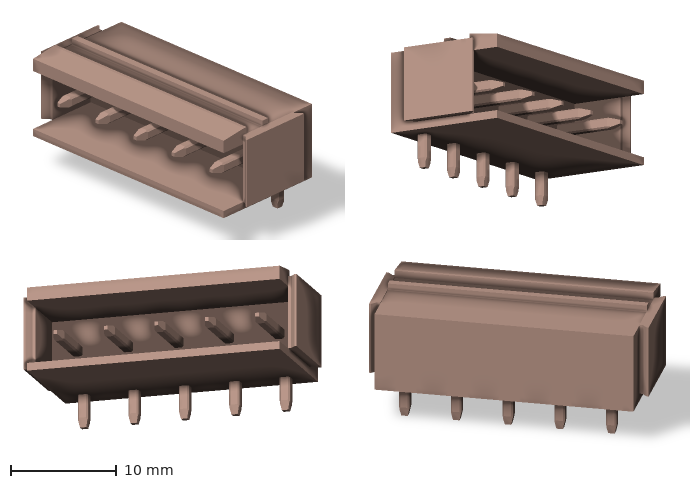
import cadquery as cq
import math


overall_length = 27.0
housing_length = 25.0
housing_depth = 12.0
floor_thickness = 0.75
roof_top_z = 7.75
roof_underside_z = 6.85
back_wall_thickness = 4.15

lip_back_y = 3.1
lip_flat_width = 0.35
lip_top_z = 8.5
lip_front_z = 8.15

ridge_front_y = 5.26
ridge_width = 0.75
ridge_top_z = 8.4
ridge_root_radius = 0.1

rail_front_y = 2.1
rail_width = 7.75
rail_top_z = 7.83
rail_rim_thickness = 0.2
rail_flare = 0.5

pin_count = 5
pin_pitch = 5.0
pin_width = 1.03
pin_edge_chamfer = 0.15
pin_leg_y = housing_depth - 2.08
pin_contact_z = 3.8
leg_tip_z = -3.19
leg_taper_length = 0.92
leg_tip_width = 0.62
contact_tip_y = 0.9
contact_taper_length = 1.25
contact_tip_width = 0.38


def make_housing_body():
    """Housing without rails: its side profile in the YZ plane, extruded along its full length."""
    cavity_back_y = housing_depth - back_wall_thickness
    ridge_back_y = ridge_front_y + ridge_width
    root_z = roof_top_z + ridge_root_radius
    arc_middle = ridge_root_radius * (1 - math.cos(math.pi / 4))
    return (
        cq.Workplane("YZ", origin=(-housing_length / 2, 0, 0))
        .moveTo(0, 0)
        .lineTo(housing_depth, 0)
        .lineTo(housing_depth, roof_top_z)
        .lineTo(ridge_back_y + ridge_root_radius, roof_top_z)
        .threePointArc((ridge_back_y + arc_middle, roof_top_z + arc_middle), (ridge_back_y, root_z))
        .lineTo(ridge_back_y, ridge_top_z)
        .lineTo(ridge_front_y, ridge_top_z)
        .lineTo(ridge_front_y, root_z)
        .threePointArc(
            (ridge_front_y - arc_middle, roof_top_z + arc_middle),
            (ridge_front_y - ridge_root_radius, roof_top_z),
        )
        .lineTo(lip_back_y, roof_top_z)
        .lineTo(lip_back_y, lip_top_z)
        .lineTo(lip_back_y - lip_flat_width, lip_top_z)
        .lineTo(0, lip_front_z)
        .lineTo(0, roof_underside_z)
        .lineTo(cavity_back_y, roof_underside_z)
        .lineTo(cavity_back_y, floor_thickness)
        .lineTo(0, floor_thickness)
        .close()
        .extrude(housing_length)
    )


def make_rail(side):
    """Dovetail rail on one end of the housing; side is -1 for the -X end and +1 for the +X end."""
    inner_x = side * housing_length / 2
    outer_x = side * overall_length / 2
    rim_x = outer_x - side * rail_rim_thickness
    neck_x = rim_x - side * rail_flare
    rail_back_y = rail_front_y + rail_width
    neck_front_y = rail_front_y + rail_flare
    neck_back_y = rail_back_y - rail_flare
    return (
        cq.Workplane("XY", origin=(0, 0, floor_thickness))
        .polyline([
            (inner_x, neck_front_y),
            (neck_x, neck_front_y),
            (rim_x, rail_front_y),
            (outer_x, rail_front_y),
            (outer_x, rail_back_y),
            (rim_x, rail_back_y),
            (neck_x, neck_back_y),
            (inner_x, neck_back_y),
        ])
        .close()
        .extrude(rail_top_z - floor_thickness)
    )


def make_bar(length, tip_width, taper_length):
    """Bar standing on Z = 0 with chamfered edges, its upper end tapered on all four sides."""
    bar = (
        cq.Workplane("XY")
        .rect(pin_width, pin_width)
        .extrude(length)
        .edges("|Z")
        .chamfer(pin_edge_chamfer)
    )
    shank_length = length - taper_length
    shank = cq.Workplane("XY").rect(pin_width, pin_width).extrude(shank_length)
    taper = (
        cq.Workplane("XY", origin=(0, 0, shank_length))
        .rect(pin_width, pin_width)
        .workplane(offset=taper_length)
        .rect(tip_width, tip_width)
        .loft(ruled=True)
    )
    return bar.intersect(shank.union(taper))


def make_pin(x):
    """Angled pin: a leg pointing down and a contact pointing to the front, meeting at a square elbow."""
    elbow_top_z = pin_contact_z + pin_width / 2
    elbow_back_y = pin_leg_y + pin_width / 2
    leg = (
        make_bar(elbow_top_z - leg_tip_z, leg_tip_width, leg_taper_length)
        .rotate((0, 0, 0), (1, 0, 0), 180)
        .translate((x, pin_leg_y, elbow_top_z))
    )
    contact = (
        make_bar(elbow_back_y - contact_tip_y, contact_tip_width, contact_taper_length)
        .rotate((0, 0, 0), (1, 0, 0), 90)
        .translate((x, elbow_back_y, pin_contact_z))
    )
    return leg.union(contact)


pins = []
for index in range(pin_count):
    pin_x = (index - (pin_count - 1) / 2) * pin_pitch
    pins.append(make_pin(pin_x))

housing = make_housing_body()
for side in (-1, 1):
    housing = housing.union(make_rail(side))
for pin in pins:
    housing = housing.cut(pin)

result = cq.Compound.makeCompound([housing.solids().val(), *[pin.solids().val() for pin in pins]])